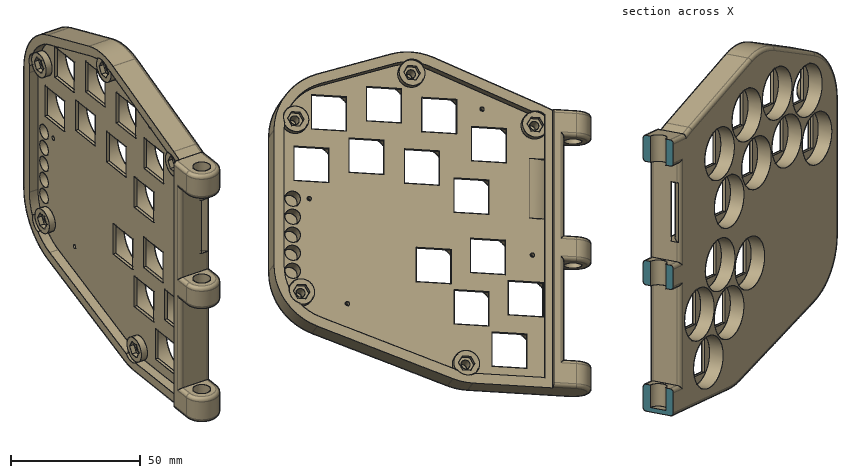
import cadquery as cq
import math

tolerance = 0.01

front_y = 0.0
back_y = 11.5
floor_y = 4.0
hinge_face_x = 110.0
corner_radius = 25.0
edge_radius = 1.5
rim_width = 4.0
lip_left_x = 107.1
lip_back_y = 1.2

left_top_z = 114.85
left_bottom_z = 24.8
apex = (54.7, 133.34)
shoulder = (106.1, 113.45)
bottom_corner_x = 74.5

hinge_length = 111.76
hinge_depth = 14.0
barrel_radius = hinge_depth / 2
barrel_x = 119.0
barrel_y = back_y - barrel_radius
pin_diameter = 6.85
pin_floor_z = 2.0
notch_x = 114.2
notches = [(11.1, 51.1), (61.1, 101.0)]

key_size = 13.8
key_relief_diameter = 21.2
key_plate_thickness = 1.3
finger_keys = [(22.6, 106.5), (44.35, 111.1), (66.2, 108.1), (85.8, 97.6)]
finger_row_step = (-6.9, -21.15)
thumb_keys = [(64.0, 47.6), (85.4, 52.6)]
thumb_row_step = (14.95, -16.1)

boss_centers = [(8.9, 102.4), (54.8, 123.8), (103.5, 106.0), (11.2, 33.05), (76.35, 8.25)]
boss_diameter = 10.2
boss_front_y = lip_back_y
nut_across_flats = 5.6
nut_depth = 2.0
screw_diameter = 3.5
screw_bottom_y = 9.5

magnet_diameter = 6.1
magnet_count = 5
magnet_x = 8.25
magnet_top_z = 71.0
magnet_pitch = 7.25
magnet_depth = 6.0
peg_diameter = 1.65
peg_depth = 3.0
peg_centers = [(14.8, 71.45), (83.05, 111.7), (102.9, 54.2), (29.85, 30.1)]

duct_left_x = 101.7
duct_bottom_z = 69.0
duct_top_z = 93.0
duct_inner_radius = 15.0
duct_width = 2.0


def xz_plane(y):
    """Sketch plane at depth y whose extrusions run toward +Y and whose local axes are (X, -Z)."""
    return cq.Plane(origin=(0, y, 0), xDir=(1, 0, 0), normal=(0, 1, 0))


def flipped(points):
    """(X, Z) points in the local axes of xz_plane."""
    return [(x, -z) for x, z in points]


def depth_cylinders(centers, diameter, y_start, y_end):
    """Cylinders along Y, one on each center."""
    sketch = cq.Workplane(xz_plane(y_start)).pushPoints(flipped(centers))
    return sketch.circle(diameter / 2).extrude(y_end - y_start)


def outline_prism(y_start, y_end, right_x):
    """Tray outline with rounded corners, closed on the right at right_x."""
    shoulder_slope = (hinge_length - shoulder[1]) / (hinge_face_x - shoulder[0])
    right_top_z = hinge_length + shoulder_slope * (right_x - hinge_face_x)
    rounded = [(bottom_corner_x, 0), (0, left_bottom_z), (0, left_top_z), apex]
    corners = rounded + [shoulder, (right_x, right_top_z), (right_x, 0)]
    prism = cq.Workplane(xz_plane(y_start)).polyline(flipped(corners)).close().extrude(y_end - y_start)
    for x, z in rounded:
        corner_edge = cq.selectors.NearestToPointSelector((x, (y_start + y_end) / 2, z))
        prism = prism.edges("|Y").edges(corner_edge).fillet(corner_radius)
    return prism


def body():
    """Solid tray with its rear outline rounded, except along the hinge."""
    block = outline_prism(front_y, back_y, hinge_face_x)
    rear_edges = block.faces(">Y").edges().filter(lambda edge: edge.Center().x < hinge_face_x - tolerance)
    return rear_edges.fillet(edge_radius)


def slab_from_x(left_x, y_start, y_end):
    """Tall block to the right of left_x, between two depths."""
    slab = cq.Workplane("XY").box(hinge_face_x, y_end - y_start, 2 * hinge_length, centered=False)
    return slab.translate((left_x, y_start, -hinge_length / 2))


def z_band(bottom_z, top_z):
    """Wide slab between two heights."""
    side = 4 * hinge_length
    return cq.Workplane("XY", origin=(0, 0, bottom_z)).rect(side, side).extrude(top_z - bottom_z)


def boss_clearances():
    """Space in front of the bosses, cut into the rim where they overlap it."""
    return depth_cylinders(boss_centers, boss_diameter, front_y, boss_front_y)


def tray_pocket():
    """Cavity inside the rim, running on under the lip that covers its right-hand edge."""
    outer_line = outline_prism(front_y, floor_y, notch_x).faces("<Y").wires().val()
    rim_line = outer_line.offset2D(-rim_width)[0]
    cavity = cq.Workplane(cq.Solid.extrudeLinear(rim_line, [], cq.Vector(0, floor_y - front_y, 0)))
    lip_block = slab_from_x(lip_left_x, front_y, lip_back_y)
    return cavity.union(boss_clearances()).cut(lip_block)


def hinge():
    """Three rounded knuckles on a common strip, with a pin hole that stops short of the bottom end."""
    barrel_front_y = barrel_y - barrel_radius
    block = (
        cq.Workplane("XY")
        .moveTo(hinge_face_x, barrel_front_y)
        .lineTo(barrel_x, barrel_front_y)
        .threePointArc((barrel_x + barrel_radius, barrel_y), (barrel_x, back_y))
        .lineTo(hinge_face_x, back_y)
        .close()
        .extrude(hinge_length)
    )
    for bottom_z, top_z in notches:
        notch = slab_from_x(notch_x, barrel_front_y, back_y).intersect(z_band(bottom_z, top_z))
        block = block.cut(notch)

    def is_rounded(edge):
        middle = edge.Center()
        if edge.geomType() == "CIRCLE":
            return True
        direction = edge.tangentAt(0)
        at_body = middle.x < hinge_face_x + tolerance
        in_depth = abs(direction.y) > tolerance
        barrel_seam = abs(middle.x - barrel_x) < tolerance and abs(direction.z) > tolerance
        return not (at_body or in_depth or barrel_seam)

    block = block.edges().filter(is_rounded).fillet(edge_radius)
    pin_hole = (
        cq.Workplane("XY", origin=(barrel_x, barrel_y, pin_floor_z))
        .circle(pin_diameter / 2)
        .extrude(hinge_length - pin_floor_z)
    )
    return block.cut(pin_hole)


def stepped(points, step, count=1):
    """The points moved by a number of row steps."""
    return [(x + count * step[0], z + count * step[1]) for x, z in points]


def key_openings():
    """Square openings through the floor, widened to round clearances behind a thin plate."""
    centers = finger_keys + stepped(finger_keys, finger_row_step)
    centers += thumb_keys + stepped(thumb_keys, thumb_row_step)
    centers += stepped(thumb_keys[:1], thumb_row_step, 2)
    squares = (
        cq.Workplane(xz_plane(floor_y))
        .pushPoints(flipped(centers))
        .rect(key_size, key_size)
        .extrude(key_plate_thickness)
    )
    clearances = depth_cylinders(centers, key_relief_diameter, floor_y + key_plate_thickness, back_y)
    return squares.union(clearances)


def bosses():
    return depth_cylinders(boss_centers, boss_diameter, boss_front_y, floor_y)


def nut_recesses():
    across_corners = nut_across_flats / math.cos(math.pi / 6)
    return (
        cq.Workplane(xz_plane(boss_front_y))
        .pushPoints(flipped(boss_centers))
        .polygon(6, across_corners)
        .extrude(nut_depth)
    )


def cable_duct():
    """Slot bending a quarter turn from the floor toward +X, with concentric inner and outer walls."""
    ring = (
        cq.Workplane("XY", origin=(duct_left_x, floor_y + duct_inner_radius, duct_bottom_z))
        .circle(duct_inner_radius + duct_width)
        .circle(duct_inner_radius)
        .extrude(duct_top_z - duct_bottom_z)
    )
    return ring.intersect(slab_from_x(duct_left_x, floor_y, back_y))


magnet_centers = [(magnet_x, magnet_top_z - i * magnet_pitch) for i in range(magnet_count)]

result = body().cut(tray_pocket()).union(hinge()).union(bosses())
result = result.cut(key_openings())
result = result.cut(nut_recesses())
result = result.cut(depth_cylinders(boss_centers, screw_diameter, boss_front_y, screw_bottom_y))
result = result.cut(depth_cylinders(magnet_centers, magnet_diameter, floor_y, floor_y + magnet_depth))
result = result.cut(depth_cylinders(peg_centers, peg_diameter, floor_y, floor_y + peg_depth))
result = result.cut(cable_duct())